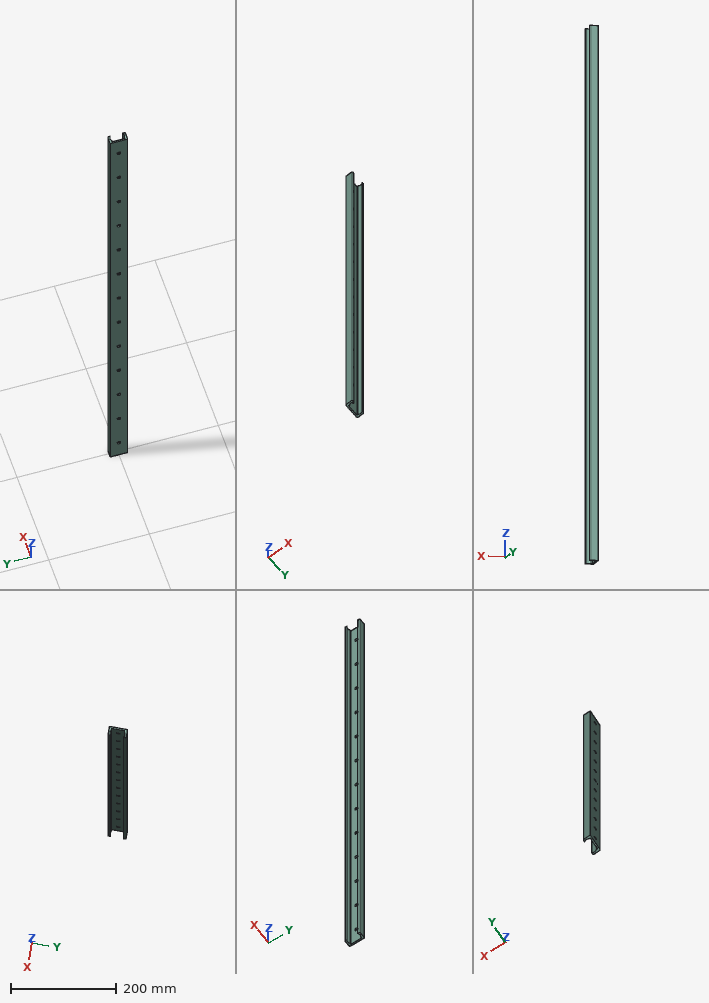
import cadquery as cq

rail_depth = 16.5
rail_width = 35.0
rail_length = 1040.0

web_thickness = 3.3
web_corner_chamfer = 1.0
lip_thickness = 5.0
lip_outer_radius = 2.0
lip_inner_land = 0.5
raceway_floor_thickness = web_thickness
raceway_start_x = 6.0

hole_diameter = 6.6
hole_pitch = 80.0
hole_count = 13


def make_half_rail():
    """The +Y half of the C section, open towards +X, with a concave raceway inside its flange."""
    outer_y = rail_width / 2
    lip_y = outer_y - lip_thickness
    raceway_floor_y = outer_y - raceway_floor_thickness
    raceway_end_x = rail_depth - lip_inner_land
    raceway_middle_x = (raceway_start_x + raceway_end_x) / 2
    profile = (
        cq.Workplane("XY")
        .moveTo(0, 0)
        .lineTo(0, outer_y - web_corner_chamfer)
        .lineTo(web_corner_chamfer, outer_y)
        .lineTo(rail_depth - lip_outer_radius, outer_y)
        .radiusArc((rail_depth, outer_y - lip_outer_radius), lip_outer_radius)
        .lineTo(rail_depth, lip_y)
        .lineTo(raceway_end_x, lip_y)
        .threePointArc((raceway_middle_x, raceway_floor_y), (raceway_start_x, lip_y))
        .lineTo(web_thickness, lip_y)
        .lineTo(web_thickness, 0)
        .close()
    )
    return profile.extrude(rail_length / 2, both=True)


def make_mounting_holes():
    """Row of round cutters through the web, centred on the rail length."""
    return (
        cq.Workplane("YZ")
        .rarray(1, hole_pitch, 1, hole_count)
        .circle(hole_diameter / 2)
        .extrude(web_thickness)
    )


half_rail = make_half_rail()
rail = half_rail.union(half_rail.mirror("XZ"))
result = rail.cut(make_mounting_holes())